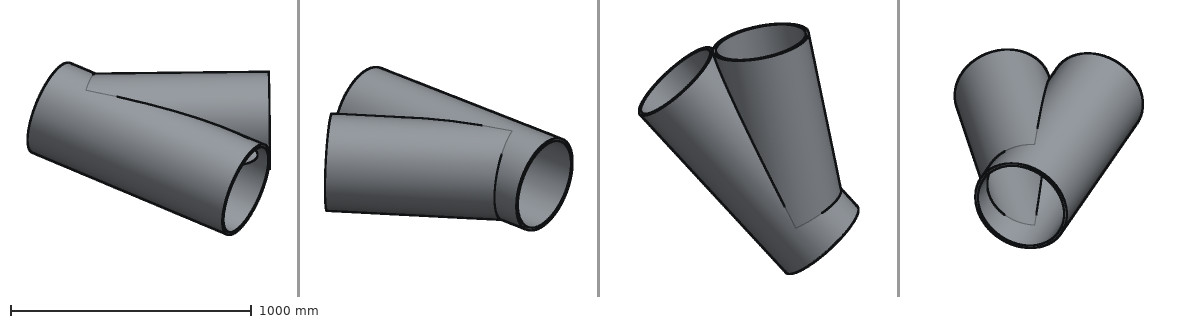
import cadquery as cq
import math

outer_diameter = 406.0
bore_diameter = 381.0
run_length = 927.0
branch_angle = 30.0
junction_x = 165.0

lean = math.radians(branch_angle)
mouth_overhang = outer_diameter / 2 * math.sin(lean)
branch_length = (run_length - junction_x - mouth_overhang) / math.cos(lean)


def run_cylinder(diameter):
    """Straight cylinder along +X, starting at the origin."""
    return cq.Workplane("YZ").circle(diameter / 2).extrude(run_length)


def branch_cylinder(diameter):
    """Cylinder from the axis crossing, leaning from +X toward +Y."""
    straight = cq.Workplane("YZ").circle(diameter / 2).extrude(branch_length)
    leaning = straight.rotate((0, 0, 0), (0, 0, 1), branch_angle)
    return leaning.translate((junction_x, 0, 0))


def lateral(diameter):
    """Run and branch of one diameter joined into a solid Y shape."""
    return run_cylinder(diameter).union(branch_cylinder(diameter))


result = lateral(outer_diameter).cut(lateral(bore_diameter))